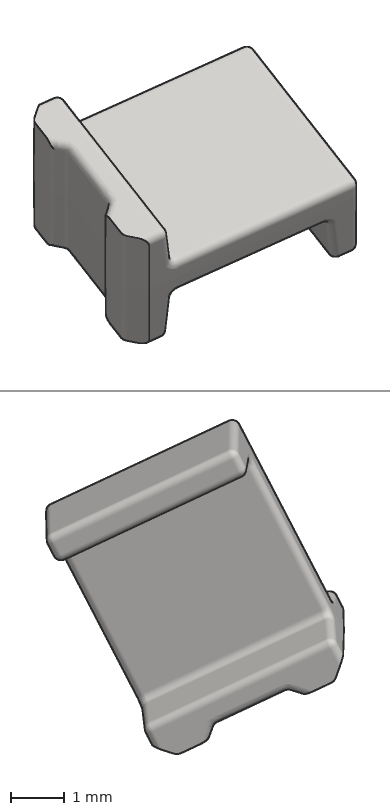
import cadquery as cq
import math

WIDTH = 4.0
DEPTH = 4.9
HEIGHT = 3.0

PLATE_BOTTOM = 1.2
PLATE_TOP = 2.0
PARTING = (PLATE_BOTTOM + PLATE_TOP) / 2
OUTER_DRAFT = 0.5

FLANGE_THICKNESS = 0.9
LEG_THICKNESS = 0.7
INNER_DRAFT = 5.0

BEVEL = 0.35
BEVEL_TIP = WIDTH / 2 - BEVEL
BEVEL_RADIUS = 0.2
CHANNEL_DEPTH = 0.2
CHANNEL_HALF_MOUTH = 0.96
CHANNEL_HALF_FLOOR = CHANNEL_HALF_MOUTH - CHANNEL_DEPTH

EDGE_RADIUS = 0.15
MARGIN = 1.0
TOLERANCE = 0.05


def mirrored(right_half):
    """Complete a plan outline from the points of its right half."""
    return right_half + [(-x, y) for x, y in reversed(right_half)]


def block_outline(inset):
    """Plan rectangle with its sides moved in; it reaches past the front face, to be trimmed later."""
    half_width = WIDTH / 2 - inset
    return mirrored([(half_width, -MARGIN), (half_width, DEPTH)])


def front_outline(inset):
    """Plan outline of bevels and channel; the inset moves all walls but the flat front inwards."""
    slide = inset * math.sqrt(2)
    floor_shift = slide - inset
    bevel_tip = BEVEL_TIP - slide
    reach = WIDTH / 2 + MARGIN
    return mirrored([
        (CHANNEL_HALF_FLOOR + floor_shift, CHANNEL_DEPTH + inset),
        (CHANNEL_HALF_MOUTH + slide, 0),
        (bevel_tip, 0),
        (reach, reach - bevel_tip),
        (reach, DEPTH + MARGIN),
    ])


def drafted_prism(outline, end_z):
    """Straight-walled solid from the parting plane to end_z, with the outline inset by the draft."""
    rise = end_z - PARTING
    inset = abs(rise) * math.tan(math.radians(OUTER_DRAFT))
    return (
        cq.Workplane("XY", origin=(0, 0, PARTING))
        .polyline(outline(0)).close()
        .workplane(offset=rise)
        .polyline(outline(inset)).close()
        .loft(ruled=True)
    )


def side_profile():
    """Plate with a full-height front flange and a rear leg, extruded across the width."""
    slope = math.tan(math.radians(INNER_DRAFT))

    def flange_back(z):
        return FLANGE_THICKNESS - slope * abs(z - PARTING)

    def leg_front(z):
        return DEPTH - LEG_THICKNESS + slope * abs(z - PARTING)

    points = [
        (-MARGIN, 0),
        (flange_back(0), 0),
        (flange_back(PLATE_BOTTOM), PLATE_BOTTOM),
        (leg_front(PLATE_BOTTOM), PLATE_BOTTOM),
        (leg_front(0), 0),
        (DEPTH + MARGIN, 0),
        (DEPTH + MARGIN, PLATE_TOP),
        (flange_back(PLATE_TOP), PLATE_TOP),
        (flange_back(HEIGHT), HEIGHT),
        (-MARGIN, HEIGHT),
    ]
    return cq.Workplane("YZ").polyline(points).close().extrude(WIDTH / 2 + MARGIN, both=True)


def fillet_where(body, condition, radius):
    """Round the edges whose bounding box meets the condition."""
    chosen = [edge for edge in body.edges().vals() if condition(edge.BoundingBox())]
    return body.newObject(chosen).fillet(radius)


def on_end_face(box):
    """True for an edge lying in the top or bottom face."""
    return box.zmax < TOLERANCE or box.zmin > HEIGHT - TOLERANCE


def is_upright_at(box, half_x, y):
    """True for an upright edge standing near (+/-half_x, y)."""
    upright = box.zmax - box.zmin > HEIGHT / 3
    near_x = abs(abs(box.xmin + box.xmax) / 2 - half_x) < TOLERANCE
    near_y = abs((box.ymin + box.ymax) / 2 - y) < TOLERANCE
    return upright and near_x and near_y


def is_outer_edge(box):
    """Convex edges of the body, leaving out its front rim and those in the parting plane."""
    on_front_rim = box.ymax < -TOLERANCE
    on_parting = max(abs(box.zmin - PARTING), abs(box.zmax - PARTING)) < TOLERANCE
    if on_front_rim or on_parting:
        return False
    runs_across = box.xmax - box.xmin > WIDTH / 2
    on_back = box.ymin > DEPTH - TOLERANCE
    return on_end_face(box) or on_back or not runs_across


def is_channel_corner(box):
    return is_upright_at(box, CHANNEL_HALF_FLOOR, CHANNEL_DEPTH)


def is_channel_lip(box):
    return is_upright_at(box, CHANNEL_HALF_MOUTH, 0)


def is_bevel_tip(box):
    return is_upright_at(box, BEVEL_TIP, 0)


def is_channel_rim(box):
    """Edges of the channel walls and floor along the top or bottom of the flange."""
    within_mouth = max(-box.xmin, box.xmax) < CHANNEL_HALF_MOUTH + TOLERANCE
    behind_front = CHANNEL_DEPTH / 2 < box.ymax < CHANNEL_DEPTH + TOLERANCE
    return on_end_face(box) and within_mouth and behind_front


def rounded_body(end_z):
    """Half of the body, from the parting plane to end_z, rounded everywhere behind the front."""
    body = drafted_prism(block_outline, end_z).intersect(side_profile())
    inner_corners = cq.selectors.BoxSelector(
        (-WIDTH / 2, FLANGE_THICKNESS - EDGE_RADIUS, PLATE_BOTTOM - TOLERANCE),
        (WIDTH / 2, DEPTH - EDGE_RADIUS, PLATE_TOP + TOLERANCE),
    )
    body = body.edges("|X").edges(inner_corners).fillet(EDGE_RADIUS)
    return fillet_where(body, is_outer_edge, EDGE_RADIUS)


def half_part(end_z):
    """Half of the part, from the parting plane to end_z, with its front shaped."""
    front = drafted_prism(front_outline, end_z)
    front = fillet_where(front, is_channel_corner, EDGE_RADIUS)
    front = fillet_where(front, is_bevel_tip, BEVEL_RADIUS)
    lip_rounded = fillet_where(front, is_channel_lip, EDGE_RADIUS)
    rim_rounded = fillet_where(front, is_channel_rim, EDGE_RADIUS)
    return rounded_body(end_z).intersect(lip_rounded).intersect(rim_rounded)


result = half_part(HEIGHT).union(half_part(0))